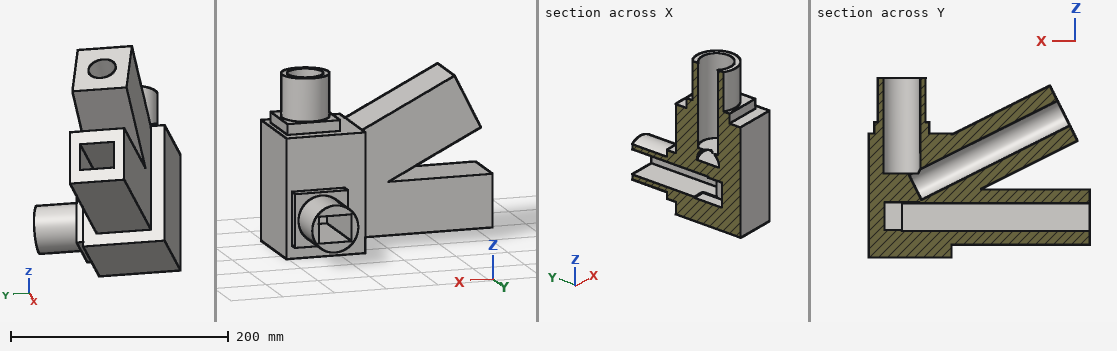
import cadquery as cq
import math

overall_length = 203.3
block_side = 76.2
block_height = 114.2
block_front_x = overall_length - block_side

branch_side = 50.8
branch_axis_z = 37.2
duct_width = 31.7
duct_height = 25.5

arm_angle = math.degrees(math.atan(0.5))
arm_width = branch_side
arm_depth = arm_width / math.cos(math.radians(arm_angle))
arm_end_x = 24.0
arm_end_z = 132.7
arm_length = 132.1
arm_bore_diameter = 25.5
arm_bore_depth = 152.5

spigot_x = 172.8
side_spigot_z = block_side / 2
pad_side = 50.8
pad_thickness = 10.2
spigot_diameter = 44.5
spigot_length = 40.7
top_bore_diameter = 33.5
top_bore_floor_z = 77.5


def box_from_x(start_x, end_x, width, height, center_z):
    """Box along X, centred on the Y = 0 plane."""
    length = end_x - start_x
    center_x = (start_x + end_x) / 2
    return cq.Workplane("XY").box(length, width, height).translate((center_x, 0, center_z))


def spigot(base_plane):
    """Square pad and solid round spigot standing on the given plane."""
    pad = cq.Workplane(base_plane).rect(pad_side, pad_side).extrude(pad_thickness)
    tube = cq.Workplane(base_plane).circle(spigot_diameter / 2).extrude(pad_thickness + spigot_length)
    return pad.union(tube)


top_plane = cq.Plane(origin=(spigot_x, 0, block_height), xDir=(1, 0, 0), normal=(0, 0, 1))
side_plane = cq.Plane(origin=(spigot_x, block_side / 2, side_spigot_z), xDir=(1, 0, 0), normal=(0, 1, 0))
arm_direction = (
    math.cos(math.radians(arm_angle)),
    0,
    -math.sin(math.radians(arm_angle)),
)
arm_plane = cq.Plane(origin=(arm_end_x, 0, arm_end_z), xDir=(0, 1, 0), normal=arm_direction)

block = box_from_x(block_front_x, overall_length, block_side, block_height, block_height / 2)
branch = box_from_x(0, spigot_x, branch_side, branch_side, branch_axis_z)
arm = cq.Workplane(arm_plane).rect(arm_width, arm_depth).extrude(arm_length)
body = block.union(branch).union(arm).union(spigot(top_plane)).union(spigot(side_plane))

branch_duct = box_from_x(0, spigot_x, duct_width, duct_height, branch_axis_z)
side_duct_length = block_side / 2 + pad_thickness + spigot_length
side_duct = cq.Workplane(side_plane).rect(duct_width, duct_height).extrude(side_duct_length)
side_duct = side_duct.translate((0, -block_side / 2, 0))

arm_bore = cq.Workplane(arm_plane).circle(arm_bore_diameter / 2).extrude(arm_bore_depth)
top_bore_depth = block_height + pad_thickness + spigot_length - top_bore_floor_z
top_bore = (
    cq.Workplane("XY", origin=(spigot_x, 0, top_bore_floor_z))
    .circle(top_bore_diameter / 2)
    .extrude(top_bore_depth)
)

result = body.cut(branch_duct).cut(side_duct).cut(arm_bore).cut(top_bore)